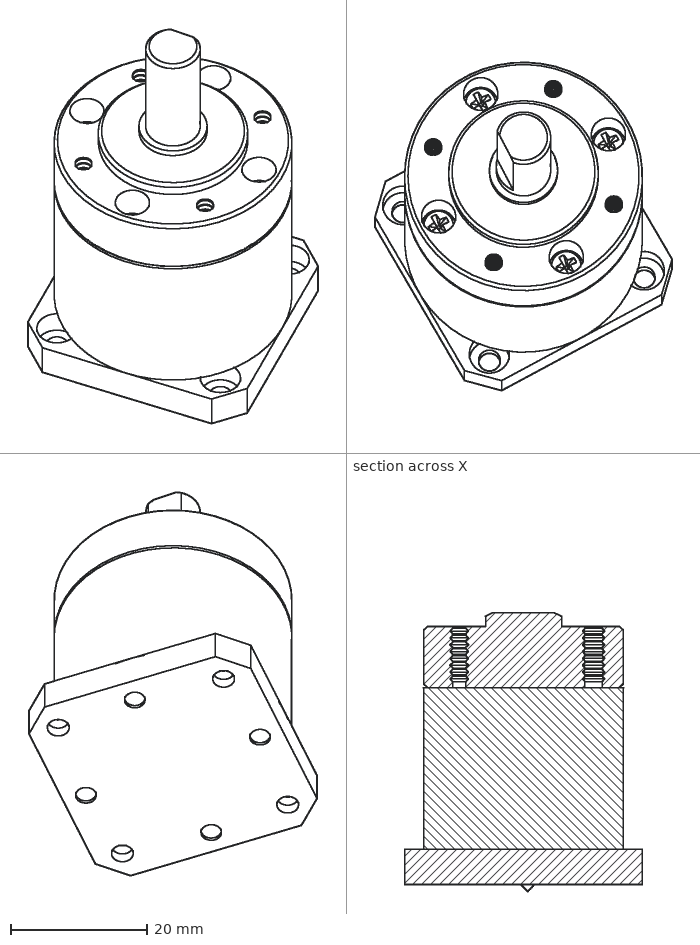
import cadquery as cq
import math

OVERALL_HEIGHT = 59.0
BODY_WIDTH = 35.0
TIP_PROJECTION = 1.0
EDGE_CHAMFER = 0.5

PLATE_THICKNESS = 5.25
PLATE_CORNER_CUT = 4.0
MOUNT_HOLE_OFFSET = 13.05
MOUNT_HOLE_DIAMETER = 3.2
MOUNT_BORE_DIAMETER = 5.9
MOUNT_BORE_DEPTH = 3.5

RING_HEIGHT = 23.7

FLANGE_THICKNESS = 9.0
FLANGE_TURN = -2.5
PILOT_DIAMETER = 22.0
PILOT_HEIGHT = 2.0
COLLAR_DIAMETER = 10.05
COLLAR_HEIGHT = 1.0
SHAFT_DIAMETER = 8.0
SHAFT_FLAT_OFFSET = 3.0
SHAFT_FLAT_LENGTH = 15.0

HOLE_CIRCLE_RADIUS = 14.0
HOLE_COUNT = 4
HOLE_SPACING = 360.0 / HOLE_COUNT

TAP_MINOR_DIAMETER = 2.5
TAP_MAJOR_DIAMETER = 3.2
TAP_PITCH = 1.0
TAP_GROOVE_WIDTH = 0.8
TAP_LEAD = 0.3

SCREW_DIAMETER = 3.0
HEAD_DIAMETER = 5.0
HEAD_BORE_DEPTH = 6.0
HEAD_SIDE_HEIGHT = 0.9
HEAD_SHOULDER_WIDTH = 0.35
HEAD_SHOULDER_HEIGHT = 0.6
HEAD_CROWN_HEIGHT = 0.9
RECESS_LENGTH = 3.6
RECESS_WIDTH = 0.9
RECESS_FLOOR_LENGTH = 0.5
RECESS_FLOOR_WIDTH = 0.35
RECESS_DEPTH = 2.05

RING_TOP = PLATE_THICKNESS + RING_HEIGHT
FLANGE_TOP = RING_TOP + FLANGE_THICKNESS
PILOT_TOP = FLANGE_TOP + PILOT_HEIGHT
COLLAR_TOP = PILOT_TOP + COLLAR_HEIGHT
SHAFT_TOP = OVERALL_HEIGHT - TIP_PROJECTION
HEAD_SEAT = FLANGE_TOP - HEAD_BORE_DEPTH
SCREW_RADIUS = SCREW_DIAMETER / 2
CONE_BASE = SCREW_RADIUS - TIP_PROJECTION


def disc(diameter, bottom, top):
    """Cylinder on the Z axis between two levels."""
    return cq.Workplane("XY").workplane(offset=bottom).circle(diameter / 2).extrude(top - bottom)


def place_on_circle(solid, index, start_angle):
    """Move a solid from the Z axis to one position of the turned hole circle."""
    angle = start_angle + FLANGE_TURN + index * HOLE_SPACING
    x = HOLE_CIRCLE_RADIUS * math.cos(math.radians(angle))
    y = HOLE_CIRCLE_RADIUS * math.sin(math.radians(angle))
    return solid.translate((x, y, 0))


def cut_screw_holes(body, bottom, top):
    """Cut the four screw clearance holes through a body."""
    hole = disc(SCREW_DIAMETER, bottom, top)
    for index in range(HOLE_COUNT):
        body = body.cut(place_on_circle(hole, index, 0))
    return body


def make_plate():
    """Square mounting plate with cut corners and counterbored corner holes."""
    plate = cq.Workplane("XY").rect(BODY_WIDTH, BODY_WIDTH).extrude(PLATE_THICKNESS)
    plate = plate.edges("|Z").chamfer(PLATE_CORNER_CUT)
    plate = (
        plate.faces(">Z").workplane()
        .rect(2 * MOUNT_HOLE_OFFSET, 2 * MOUNT_HOLE_OFFSET, forConstruction=True)
        .vertices()
        .cboreHole(MOUNT_HOLE_DIAMETER, MOUNT_BORE_DIAMETER, MOUNT_BORE_DEPTH)
    )
    return cut_screw_holes(plate, 0, PLATE_THICKNESS)


def make_ring():
    """Plain round gear housing between the plate and the flange."""
    ring = disc(BODY_WIDTH, PLATE_THICKNESS, RING_TOP)
    return cut_screw_holes(ring, PLATE_THICKNESS, RING_TOP)


def make_tapped_hole_cutter():
    """Bore through the flange with V-shaped thread grooves, on the Z axis."""
    cutter = disc(TAP_MINOR_DIAMETER, RING_TOP, FLANGE_TOP)
    groove_count = int((FLANGE_THICKNESS - TAP_LEAD) // TAP_PITCH)
    minor_radius = TAP_MINOR_DIAMETER / 2
    major_radius = TAP_MAJOR_DIAMETER / 2
    for index in range(groove_count):
        top = FLANGE_TOP - TAP_LEAD - index * TAP_PITCH
        bottom = top - TAP_GROOVE_WIDTH
        groove = (
            cq.Workplane("XZ")
            .moveTo(0, bottom)
            .lineTo(minor_radius, bottom)
            .lineTo(major_radius, (bottom + top) / 2)
            .lineTo(minor_radius, top)
            .lineTo(0, top)
            .close()
            .revolve(360, (0, 0), (0, 1))
        )
        cutter = cutter.union(groove)
    return cutter


def make_shaft():
    """Chamfered output shaft with a flat facing +Y, before the flange is turned."""
    shaft = disc(SHAFT_DIAMETER, COLLAR_TOP, SHAFT_TOP)
    shaft = shaft.faces(">Z").chamfer(EDGE_CHAMFER)
    flat_cutter = (
        cq.Workplane("XY").workplane(offset=SHAFT_TOP - SHAFT_FLAT_LENGTH)
        .center(0, SHAFT_FLAT_OFFSET + SHAFT_DIAMETER / 2)
        .rect(2 * SHAFT_DIAMETER, SHAFT_DIAMETER)
        .extrude(SHAFT_FLAT_LENGTH)
    )
    return shaft.cut(flat_cutter)


def make_output_flange():
    """Front flange with its pilot, collar and output shaft in one piece, turned about Z."""
    flange = disc(BODY_WIDTH, RING_TOP, FLANGE_TOP)
    flange = flange.faces(">Z").chamfer(EDGE_CHAMFER)
    flange = flange.faces("<Z").chamfer(EDGE_CHAMFER)
    pilot = disc(PILOT_DIAMETER, FLANGE_TOP, PILOT_TOP).faces(">Z").chamfer(EDGE_CHAMFER)
    collar = disc(COLLAR_DIAMETER, PILOT_TOP, COLLAR_TOP)
    flange = flange.union(pilot).union(collar).union(make_shaft())
    flange = flange.rotate((0, 0, 0), (0, 0, 1), FLANGE_TURN)

    flange = cut_screw_holes(flange, RING_TOP, HEAD_SEAT)
    head_bore = disc(HEAD_DIAMETER, HEAD_SEAT, FLANGE_TOP)
    tapped_hole = make_tapped_hole_cutter()
    for index in range(HOLE_COUNT):
        flange = flange.cut(place_on_circle(head_bore, index, 0))
        flange = flange.cut(place_on_circle(tapped_hole, index, HOLE_SPACING / 2))
    return flange


def make_screw():
    """Pan-head screw with a cross recess and a conical point, on the Z axis."""
    head_radius = HEAD_DIAMETER / 2
    crown_radius = head_radius - HEAD_SHOULDER_WIDTH
    side_top = HEAD_SEAT + HEAD_SIDE_HEIGHT
    shoulder_top = side_top + HEAD_SHOULDER_HEIGHT
    crown_top = shoulder_top + HEAD_CROWN_HEIGHT
    sphere_radius = (crown_radius ** 2 + HEAD_CROWN_HEIGHT ** 2) / (2 * HEAD_CROWN_HEIGHT)
    half_angle = math.asin(crown_radius / sphere_radius) / 2
    crown_mid = (
        sphere_radius * math.sin(half_angle),
        crown_top - sphere_radius * (1 - math.cos(half_angle)),
    )
    screw = (
        cq.Workplane("XZ")
        .moveTo(0, -TIP_PROJECTION)
        .lineTo(SCREW_RADIUS, CONE_BASE)
        .lineTo(SCREW_RADIUS, HEAD_SEAT)
        .lineTo(head_radius, HEAD_SEAT)
        .lineTo(head_radius, side_top)
        .lineTo(crown_radius, shoulder_top)
        .threePointArc(crown_mid, (0, crown_top))
        .close()
        .revolve(360, (0, 0), (0, 1))
    )
    wing = (
        cq.Workplane("XY").workplane(offset=crown_top)
        .rect(RECESS_LENGTH, RECESS_WIDTH)
        .workplane(offset=-RECESS_DEPTH)
        .rect(RECESS_FLOOR_LENGTH, RECESS_FLOOR_WIDTH)
        .loft(ruled=True)
    )
    for wing_angle in (0, 90):
        screw = screw.cut(wing.rotate((0, 0, 0), (0, 0, 1), wing_angle))
    return screw


plate = make_plate()
ring = make_ring()
output_flange = make_output_flange()
screw = make_screw()
screws = [place_on_circle(screw, index, 0) for index in range(HOLE_COUNT)]

result = cq.Compound.makeCompound(
    [plate.val(), ring.val(), output_flange.val(), *[copy.val() for copy in screws]]
)